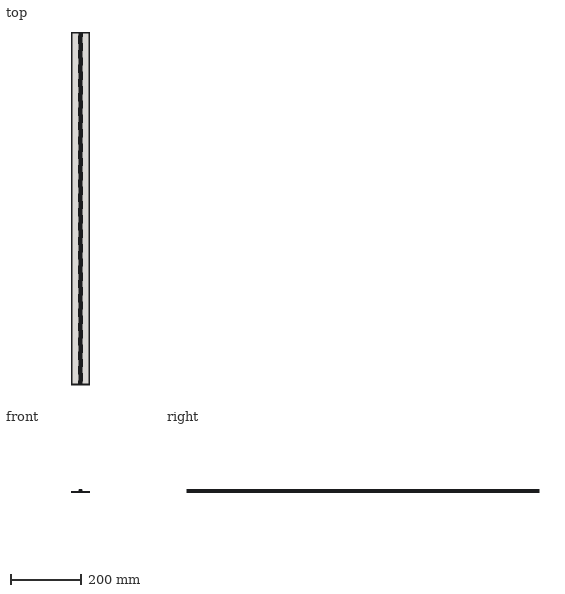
import cadquery as cq

hinge_length = 1000.0
hinge_width = 50.0
leaf_thickness = 1.5
knuckle_diameter = 7.0

full_knuckles = 48
knuckle_length = 20.0
knuckle_gap = 0.4

edge_clearance = 0.5

knuckle_radius = knuckle_diameter / 2
pin_radius = knuckle_radius - leaf_thickness
knuckle_pitch = knuckle_length + knuckle_gap
leaf_edge = knuckle_radius + edge_clearance
leaf_width = hinge_width / 2 - leaf_edge
hinge_start = -hinge_length / 2
hinge_end = hinge_length / 2


def knuckle_spans():
    """Return the start and end along Y of every knuckle, from the -Y end to the +Y end."""
    first_gap = -full_knuckles * knuckle_pitch / 2
    gap_centres = [first_gap + i * knuckle_pitch for i in range(full_knuckles + 1)]
    starts = [hinge_start] + [centre + knuckle_gap / 2 for centre in gap_centres]
    ends = [centre - knuckle_gap / 2 for centre in gap_centres] + [hinge_end]
    return list(zip(starts, ends))


def sheet(side, inner_x, width, start, end):
    """Return a flat strip of leaf on the given side, starting at inner_x from the hinge axis."""
    centre = (side * (inner_x + width / 2), (start + end) / 2, leaf_thickness / 2)
    return cq.Workplane("XY").box(width, end - start, leaf_thickness).translate(centre)


def rod(radius, start, end):
    """Return a round bar on the hinge axis."""
    axis_start = (0, start, knuckle_radius)
    return cq.Workplane("XZ", origin=axis_start).circle(radius).extrude(start - end)


def make_knuckle(side, start, end):
    """Return one barrel with the tab that joins it to its leaf, not yet bored."""
    tab = sheet(side, 0, leaf_edge, start, end)
    return rod(knuckle_radius, start, end).union(tab)


def make_leaf(side, spans):
    """Return a leaf with bored knuckles; side is -1 for the -X leaf and +1 for the +X leaf."""
    leaf = sheet(side, leaf_edge, leaf_width, hinge_start, hinge_end)
    for start, end in spans:
        leaf = leaf.union(make_knuckle(side, start, end))
    bore = rod(pin_radius, hinge_start, hinge_end)
    return leaf.cut(bore)


all_spans = knuckle_spans()
right_leaf = make_leaf(1, all_spans[0::2])
left_leaf = make_leaf(-1, all_spans[1::2])
pin = rod(pin_radius, hinge_start, hinge_end)

result = cq.Compound.makeCompound([left_leaf.val(), right_leaf.val(), pin.val()])